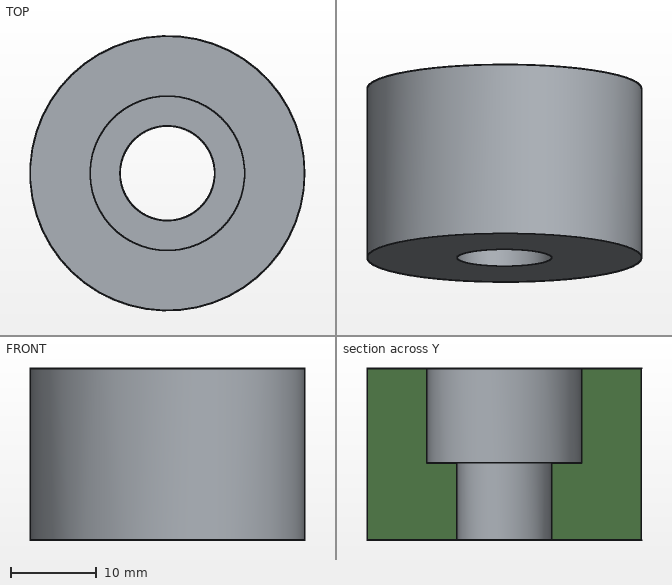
import cadquery as cq

outer_diameter = 32.0
height = 20.0
counterbore_diameter = 18.0
counterbore_depth = 11.0
through_hole_diameter = 11.0


def make_body():
    """Plain round body standing on the XY plane, centred on the Z axis."""
    return cq.Workplane("XY").circle(outer_diameter / 2).extrude(height)


def cut_stepped_bore(body):
    """Through hole on the Z axis, counterbored from the top face."""
    return body.faces(">Z").workplane().cboreHole(
        through_hole_diameter, counterbore_diameter, counterbore_depth
    )


result = cut_stepped_bore(make_body())